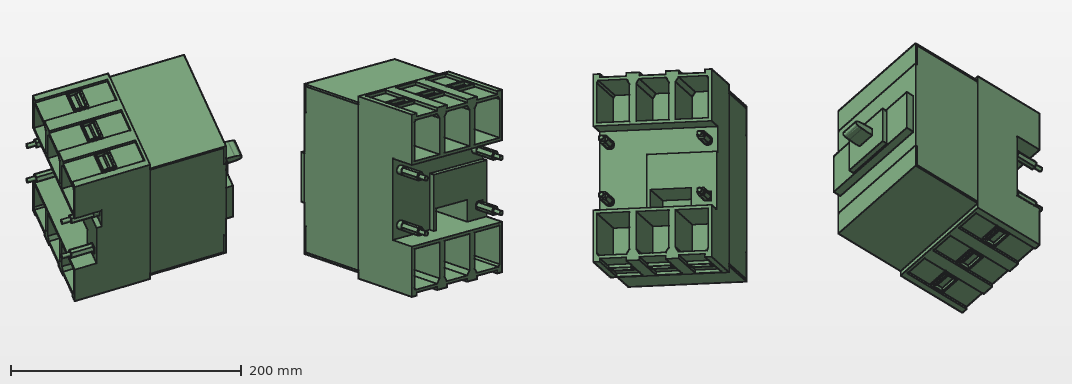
import cadquery as cq


WIDTH = 105.0
BASE_HEIGHT = 166.0
BASE_DEPTH = 69.5
CHANNEL_DEPTH = 25.1
CHANNEL_HEIGHT = 74.2

POLE_PITCH = 35.0
POLE_CENTRES = [-POLE_PITCH, 0, POLE_PITCH]
WALL = 2.9
CHAMBER_WIDTH = 29.0
CORNER_WIDTH = 2.7
CORNER_HEIGHT = 4.3
OUTER_CORNER_SHARE = 0.5

RECESS_WIDTH = 23.3
RECESS_DEPTH = WALL
RIM_WIDTH = 20.6
RIM_FRONT = 28.3
RIM_LENGTH = 13.3
RIM_WALL = 1.5
RIM_END_WALL = 2.0
CLIP_SLOPE_REAR = 36.8
CLIP_DROP = 1.5

PAD_THICKNESS = 5.0
PAD_LEFT = -9.3
PAD_TOP = 14.2
WINDOW_LEFT = -6.5
WINDOW_RIGHT = 29.8
WINDOW_TOP = -17.0

STUD_X = 43.5
STUD_Z = 25.1
COLLAR_DIAMETER = 8.0
COLLAR_LENGTH = 5.5
HEX_ACROSS_CORNERS = COLLAR_DIAMETER
HEX_END = 25.8
SHANK_DIAMETER = 4.0
STUD_LENGTH = 33.9

BREAKER_HEIGHT = 154.9
BREAKER_DEPTH = 70.1
BEZEL_WIDTH = 99.3
BEZEL_DEPTH = 7.5
BEZEL_TOP = 12.9
BEZEL_BOTTOM = -32.3
STEP_WIDTH = 45.4
STEP_DEPTH = 4.8
STEP_MARGIN = 2.0
TOGGLE_WIDTH = 17.4
TOGGLE_Z = -7.5
TOGGLE_LENGTH = 18.5
TOGGLE_ROOT = 4.0
TOGGLE_SHOULDER = 3.4
TOGGLE_NECK = 2.5
SHOULDER_AT = 11.8
NECK_AT = 16.5
TOGGLE_BULGE = 0.09

COVER_THICKNESS = 2.0
COVER_FLANGE = 25.6

BREAKER_REAR = BASE_DEPTH + BREAKER_DEPTH
CHANNEL_HALF = CHANNEL_HEIGHT / 2


def block(x0, x1, y0, y1, z0, z1):
    """Box between two opposite corners."""
    return cq.Workplane("XY").box(x1 - x0, y1 - y0, z1 - z0, centered=False).translate((x0, y0, z0))


def wide_block(width, y0, y1, z0, z1):
    """Box centred on X = 0."""
    return block(-width / 2, width / 2, y0, y1, z0, z1)


def mirrored_down(body):
    """The same shape at the lower end."""
    return body.mirror("XY")


def chamber(pole_x):
    """Cavity of an upper terminal chamber, closed at the rear."""
    left = pole_x - CHAMBER_WIDTH / 2
    right = pole_x + CHAMBER_WIDTH / 2
    bottom = CHANNEL_HALF + WALL
    top = BASE_HEIGHT / 2 - RECESS_DEPTH - WALL
    left_share = OUTER_CORNER_SHARE if pole_x == POLE_CENTRES[0] else 1
    right_share = OUTER_CORNER_SHARE if pole_x == POLE_CENTRES[-1] else 1
    return (
        cq.Workplane("XZ")
        .moveTo(left, bottom)
        .lineTo(right, bottom)
        .lineTo(right, top - right_share * CORNER_HEIGHT)
        .lineTo(right - right_share * CORNER_WIDTH, top)
        .lineTo(left + left_share * CORNER_WIDTH, top)
        .lineTo(left, top - left_share * CORNER_HEIGHT)
        .close()
        .extrude(-(BASE_DEPTH - WALL))
    )


def label_recess(pole_x):
    """Material removed from the upper face: the recess around the rim and the pocket inside it."""
    top = BASE_HEIGHT / 2
    floor = top - RECESS_DEPTH
    low_floor = floor - CLIP_DROP
    rim_rear = RIM_FRONT + RIM_LENGTH
    recess = wide_block(RECESS_WIDTH, 0, BASE_DEPTH - WALL, floor, top)
    rim = wide_block(RIM_WIDTH, RIM_FRONT, rim_rear, floor, top)
    pocket_width = RIM_WIDTH - 2 * RIM_WALL
    pocket = (
        cq.Workplane("YZ")
        .moveTo(RIM_FRONT + RIM_WALL, top)
        .lineTo(RIM_FRONT + RIM_WALL, low_floor)
        .lineTo(CLIP_SLOPE_REAR - CLIP_DROP, low_floor)
        .lineTo(CLIP_SLOPE_REAR, floor)
        .lineTo(rim_rear - RIM_END_WALL, floor)
        .lineTo(rim_rear - RIM_END_WALL, top)
        .close()
        .extrude(pocket_width / 2, both=True)
    )
    return recess.cut(rim).union(pocket).translate((pole_x, 0, 0))


def stud(x, z):
    """Collar, hexagon and round shank standing on the channel floor, pointing to -Y."""
    floor = cq.Plane(origin=(x, CHANNEL_DEPTH, z), xDir=(-1, 0, 0), normal=(0, -1, 0))
    collar = cq.Workplane(floor).circle(COLLAR_DIAMETER / 2).extrude(COLLAR_LENGTH)
    hexagon = cq.Workplane(floor).polygon(6, HEX_ACROSS_CORNERS).extrude(HEX_END)
    shank = cq.Workplane(floor).circle(SHANK_DIAMETER / 2).extrude(STUD_LENGTH)
    return collar.union(hexagon).union(shank)


def square_collar_half():
    """Squares off the +X half of the collar that stands on the mounting pad."""
    radius = COLLAR_DIAMETER / 2
    return block(
        STUD_X, STUD_X + radius,
        CHANNEL_DEPTH - COLLAR_LENGTH, CHANNEL_DEPTH,
        -STUD_Z - radius, -STUD_Z + radius,
    )


def make_base():
    base = wide_block(WIDTH, 0, BASE_DEPTH, -BASE_HEIGHT / 2, BASE_HEIGHT / 2)
    base = base.cut(wide_block(WIDTH, 0, CHANNEL_DEPTH, -CHANNEL_HALF, CHANNEL_HALF))
    pad_front = CHANNEL_DEPTH - PAD_THICKNESS
    base = base.union(block(PAD_LEFT, WIDTH / 2, pad_front, CHANNEL_DEPTH, -CHANNEL_HALF, PAD_TOP))
    base = base.cut(block(WINDOW_LEFT, WINDOW_RIGHT, pad_front, BASE_DEPTH, -CHANNEL_HALF, WINDOW_TOP))
    for pole_x in POLE_CENTRES:
        for cavity in (chamber(pole_x), label_recess(pole_x)):
            base = base.cut(cavity).cut(mirrored_down(cavity))
    for x in (-STUD_X, STUD_X):
        for z in (-STUD_Z, STUD_Z):
            base = base.union(stud(x, z))
    return base.union(square_collar_half())


def toggle():
    """Toggle lever: a rounded tongue whose sides curve in towards the nose."""
    shoulder_mid = (SHOULDER_AT / 2, (TOGGLE_ROOT + TOGGLE_SHOULDER) / 2 + TOGGLE_BULGE)
    neck_mid = ((SHOULDER_AT + NECK_AT) / 2, (TOGGLE_SHOULDER + TOGGLE_NECK) / 2 + TOGGLE_BULGE)
    return (
        cq.Workplane("YZ", origin=(0, BREAKER_REAR + BEZEL_DEPTH + STEP_DEPTH, TOGGLE_Z))
        .moveTo(0, TOGGLE_ROOT)
        .threePointArc(shoulder_mid, (SHOULDER_AT, TOGGLE_SHOULDER))
        .threePointArc(neck_mid, (NECK_AT, TOGGLE_NECK))
        .threePointArc((TOGGLE_LENGTH, 0), (NECK_AT, -TOGGLE_NECK))
        .threePointArc((neck_mid[0], -neck_mid[1]), (SHOULDER_AT, -TOGGLE_SHOULDER))
        .threePointArc((shoulder_mid[0], -shoulder_mid[1]), (0, -TOGGLE_ROOT))
        .close()
        .extrude(TOGGLE_WIDTH / 2, both=True)
    )


def make_upper_cover():
    """L-shaped sheet over the breaker's upper end, with a flange down its rear face."""
    top = BREAKER_HEIGHT / 2
    sheet = wide_block(WIDTH, BASE_DEPTH, BREAKER_REAR, top - COVER_THICKNESS, top)
    flange = wide_block(WIDTH, BREAKER_REAR - COVER_THICKNESS, BREAKER_REAR, top - COVER_FLANGE, top)
    return sheet.union(flange)


def make_breaker(covers):
    """Breaker block with the seats of the end covers cut away, its bezel and its toggle."""
    half = BREAKER_HEIGHT / 2
    breaker = wide_block(WIDTH, BASE_DEPTH, BREAKER_REAR, -half, half)
    for cover in covers:
        breaker = breaker.cut(cover)
    bezel_rear = BREAKER_REAR + BEZEL_DEPTH
    bezel = wide_block(BEZEL_WIDTH, BREAKER_REAR, bezel_rear, BEZEL_BOTTOM, BEZEL_TOP)
    step = wide_block(
        STEP_WIDTH, bezel_rear, bezel_rear + STEP_DEPTH,
        BEZEL_BOTTOM + STEP_MARGIN, BEZEL_TOP - STEP_MARGIN,
    )
    return breaker.union(bezel).union(step).union(toggle())


base = make_base()
upper_cover = make_upper_cover()
end_covers = [upper_cover, mirrored_down(upper_cover)]
breaker = make_breaker(end_covers)

result = cq.Compound.makeCompound([base.val(), breaker.val(), *[cover.val() for cover in end_covers]])